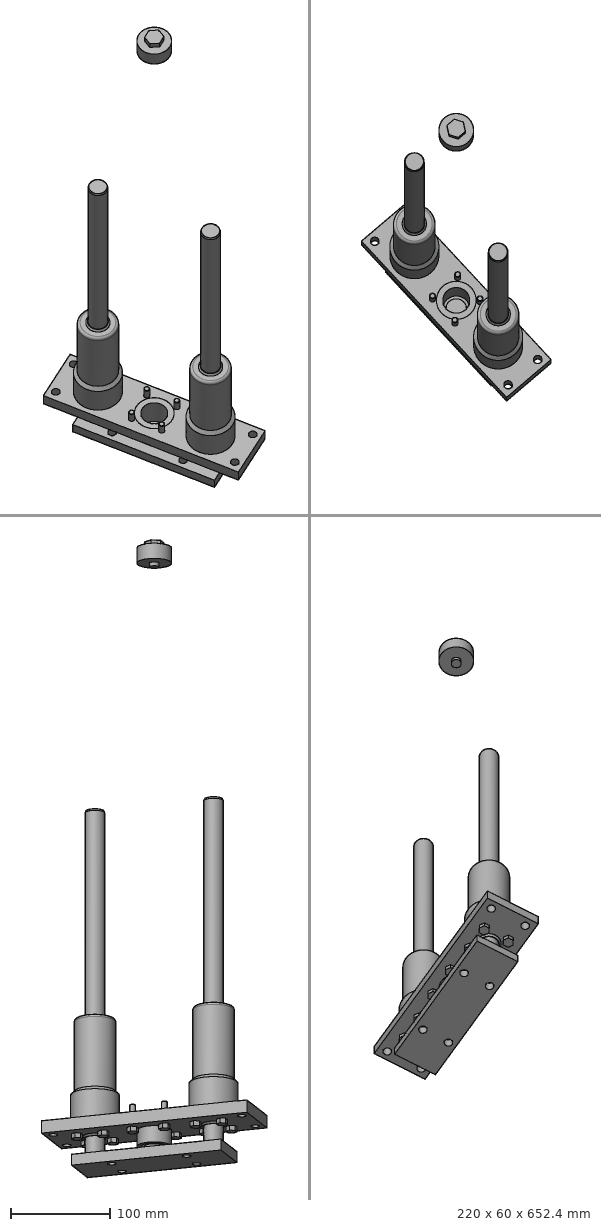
import cadquery as cq
import math

slide_length = 160.0
slide_width = 48.0
slide_thickness = 11.5
slide_hole_pitch_x = 80.0
slide_hole_pitch_y = 30.0
rod_diameter = 20.0
rod_spacing = 127.05
rod_top = 376.5
rod_chamfer_width = 0.8
rod_chamfer_height = 2.0
spindle_diameter = 21.0

plate_length = 220.0
plate_width = 60.0
plate_thickness = 13.0
plate_bottom = 35.0
plate_top = plate_bottom + plate_thickness
plate_hole_pitch_x = 202.0
plate_hole_pitch_y = 40.0
mounting_hole_diameter = 8.5

collar_diameter = 49.5
barrel_diameter = 42.0
collar_height = 30.0
cone_height = 3.75
housing_top = 158.0
barrel_round = 3.0
lip_base_diameter = 24.5
lip_end_diameter = 21.0
lip_height = 2.0

sleeve_diameter = 35.0
sleeve_bore = 27.0
sleeve_bottom = 18.0
recess_diameter = 40.0
recess_depth = 0.2

screw_diameter = 6.0
screw_hole_diameter = 6.2
screw_point_diameter = 4.92
screw_head_flats = 10.0
screw_head_height = 5.0
sleeve_screw_circle = 48.0
housing_screw_circle = 40.0
screw_projection = 11.0
screws_per_circle = 4
screw_start_angle = 45.0

coupling_top = 652.4
coupling_diameter = 35.0
coupling_height = 16.0
coupling_hex_flats = 17.0
coupling_hex_height = 6.0
coupling_stub_diameter = 10.0
coupling_stub_height = 4.0

hexagon_sides = 6

rod_positions = [(-rod_spacing / 2, 0), (rod_spacing / 2, 0)]


def cylinder(diameter, bottom, top, positions=((0, 0),)):
    """Upright cylinders between two heights."""
    disc = cq.Workplane("XY").workplane(offset=bottom).pushPoints(positions)
    return disc.circle(diameter / 2).extrude(top - bottom)


def plate(length, width, bottom, thickness, pitch_x, pitch_y):
    """Flat plate with a rectangle of four mounting holes."""
    blank = cq.Workplane("XY").workplane(offset=bottom).rect(length, width).extrude(thickness)
    corners = blank.faces(">Z").workplane(origin=(0, 0, 0)).rect(pitch_x, pitch_y, forConstruction=True)
    return corners.vertices().hole(mounting_hole_diameter)


def hexagon(flats, bottom, height, positions=((0, 0),)):
    """Upright hexagons with two corners on the Y direction."""
    corner_radius = flats / 2 / math.cos(math.pi / hexagon_sides)
    outline = cq.Sketch().regularPolygon(corner_radius, hexagon_sides)
    base = cq.Workplane("XY").workplane(offset=bottom).pushPoints(positions)
    return base.placeSketch(outline).extrude(height)


def circle_positions(circle_diameter, centre_x=0.0):
    """Screw positions, evenly spaced on a circle."""
    radius = circle_diameter / 2
    positions = []
    for index in range(screws_per_circle):
        angle = math.radians(screw_start_angle) + index * 2 * math.pi / screws_per_circle
        positions.append((centre_x + radius * math.cos(angle), radius * math.sin(angle)))
    return positions


def screw_heads(positions):
    """Hexagon heads against the underside of the guide plate."""
    return hexagon(screw_head_flats, plate_bottom - screw_head_height, screw_head_height, positions)


def screw_shanks(positions):
    """Screw shanks that pass through the guide plate and end in a chamfer above it."""
    chamfer = (screw_diameter - screw_point_diameter) / 2
    shanks = cylinder(screw_diameter, plate_bottom, plate_top + screw_projection, positions)
    return shanks.faces(">Z").edges().chamfer(chamfer)


def housing():
    """Turned bearing housing around a guide rod, with a wiper lip at each end."""
    collar_top = plate_top + collar_height
    outer_points = [
        (lip_end_diameter / 2, plate_bottom - lip_height),
        (lip_base_diameter / 2, plate_bottom),
        (collar_diameter / 2, plate_bottom),
        (collar_diameter / 2, collar_top),
        (barrel_diameter / 2, collar_top + cone_height),
        (barrel_diameter / 2, housing_top - barrel_round),
    ]
    round_centre = (barrel_diameter / 2 - barrel_round, housing_top - barrel_round)
    round_offset = barrel_round * math.sqrt(0.5)
    round_middle = (round_centre[0] + round_offset, round_centre[1] + round_offset)
    round_end = (round_centre[0], housing_top)
    profile = cq.Workplane("XZ").moveTo(rod_diameter / 2, plate_bottom - lip_height)
    for point in outer_points:
        profile = profile.lineTo(*point)
    profile = profile.threePointArc(round_middle, round_end)
    profile = profile.lineTo(lip_base_diameter / 2, housing_top)
    profile = profile.lineTo(lip_end_diameter / 2, housing_top + lip_height)
    profile = profile.lineTo(rod_diameter / 2, housing_top + lip_height)
    return profile.close().revolve(360, (0, 0, 0), (0, 1, 0))


def make_guide():
    """Guide plate with its housings, centre sleeve and screws."""
    body = plate(
        plate_length, plate_width, plate_bottom, plate_thickness, plate_hole_pitch_x, plate_hole_pitch_y
    )
    body = body.cut(cylinder(rod_diameter, plate_bottom, plate_top, rod_positions))
    for x, y in rod_positions:
        body = body.union(housing().translate((x, y, 0)))
        body = body.union(screw_heads(circle_positions(housing_screw_circle, x)))
    sleeve_screws = circle_positions(sleeve_screw_circle)
    body = body.union(cylinder(sleeve_diameter, sleeve_bottom, plate_bottom))
    body = body.cut(cylinder(recess_diameter, plate_top - recess_depth, plate_top))
    body = body.cut(cylinder(screw_hole_diameter, plate_bottom, plate_top, sleeve_screws))
    body = body.union(screw_heads(sleeve_screws))
    body = body.union(screw_shanks(sleeve_screws))
    return body.cut(cylinder(sleeve_bore, sleeve_bottom, plate_top))


def make_slide():
    """Slide plate with its two rods and the centre spindle."""
    body = plate(slide_length, slide_width, 0, slide_thickness, slide_hole_pitch_x, slide_hole_pitch_y)
    rods = cylinder(rod_diameter, slide_thickness, rod_top, rod_positions)
    rods = rods.faces(">Z").edges().chamfer(rod_chamfer_height, rod_chamfer_width)
    spindle = cylinder(spindle_diameter, slide_thickness, sleeve_bottom)
    return body.union(rods).union(spindle)


def make_coupling():
    """Round coupling with a hexagon above and a stub below."""
    body_top = coupling_top - coupling_hex_height
    body_bottom = body_top - coupling_height
    body = cylinder(coupling_diameter, body_bottom, body_top)
    body = body.union(hexagon(coupling_hex_flats, body_top, coupling_hex_height))
    return body.union(cylinder(coupling_stub_diameter, body_bottom - coupling_stub_height, body_bottom))


guide = make_guide()
slide = make_slide()
coupling = make_coupling()

bodies = [guide, slide, coupling]
result = cq.Compound.makeCompound([body.solids().val() for body in bodies])